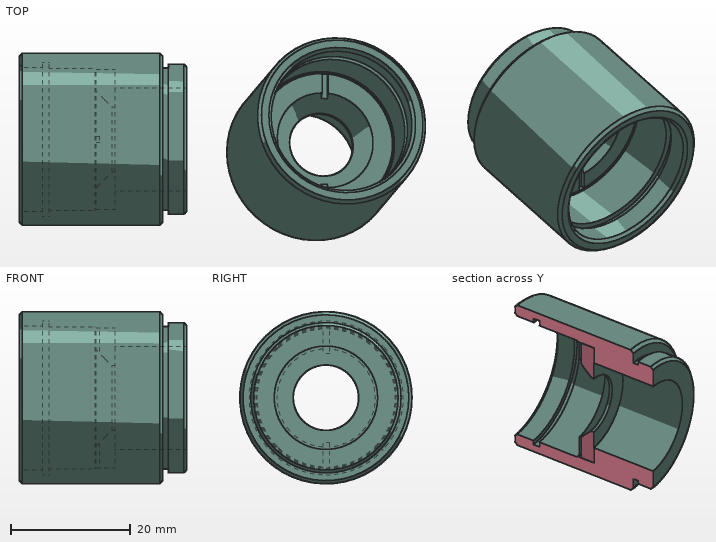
import cadquery as cq

sleeve_radius = 14.45
sleeve_length = 24.1
sleeve_chamfer = 0.55
neck_radius = 11.96
neck_length = 0.92
flange_radius = 12.6
total_length = 28.12
flange_chamfer = 0.5

lip_radius = 12.1
mouth_chamfer = 0.52
groove_start = 3.85
groove_end = 5.0
groove_radius = 12.92
bore_radius = 11.95
seat_radius = 11.73
outlet_radius = 8.67

insert_face_x = 12.72
insert_chamfer = 0.15
inlet_radius = 8.25
throat_radius = 5.45
throat_land = 0.58
slot_width = 1.05
slot_depth = 0.75

inlet_depth = inlet_radius - throat_radius
insert_length = inlet_depth + throat_land
seat_end = insert_face_x + insert_length
seat_start = insert_face_x + insert_chamfer
bore_end = seat_start - (bore_radius - seat_radius)


def revolve_profile(points):
    """Revolve a closed (x, radius) outline about the X axis."""
    return cq.Workplane("XY").polyline(points).close().revolve(360, (0, 0, 0), (1, 0, 0))


def make_housing():
    flange_start = sleeve_length + neck_length
    outside = [
        (0, sleeve_radius - sleeve_chamfer),
        (sleeve_chamfer, sleeve_radius),
        (sleeve_length - sleeve_chamfer, sleeve_radius),
        (sleeve_length, sleeve_radius - sleeve_chamfer),
        (sleeve_length, neck_radius),
        (flange_start, neck_radius),
        (flange_start, flange_radius),
        (total_length - flange_chamfer, flange_radius),
        (total_length, flange_radius - flange_chamfer),
    ]
    inside = [
        (total_length, outlet_radius),
        (seat_end, outlet_radius),
        (seat_end, seat_radius),
        (seat_start, seat_radius),
        (bore_end, bore_radius),
        (groove_end, bore_radius),
        (groove_end, groove_radius),
        (groove_start, groove_radius),
        (groove_start, lip_radius),
        (mouth_chamfer, lip_radius),
        (0, lip_radius + mouth_chamfer),
    ]
    return revolve_profile(outside + inside)


def make_insert():
    body = revolve_profile([
        (insert_face_x, inlet_radius),
        (insert_face_x, seat_radius - insert_chamfer),
        (seat_start, seat_radius),
        (seat_end, seat_radius),
        (seat_end, throat_radius),
        (insert_face_x + inlet_depth, throat_radius),
    ])
    slot_bar = (
        cq.Workplane("XY")
        .box(slot_depth, slot_width, 2 * seat_radius, centered=(False, True, True))
        .translate((insert_face_x, 0, 0))
    )
    return body.cut(slot_bar)


housing = make_housing()
insert = make_insert()

result = cq.Compound.makeCompound([housing.val(), insert.val()])